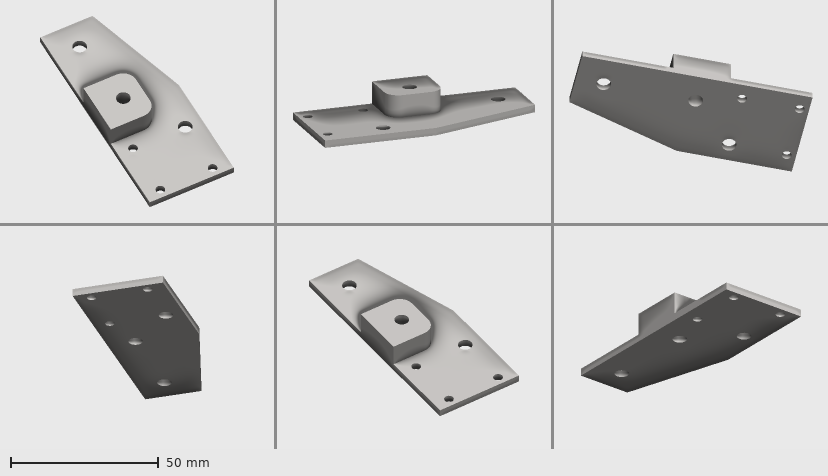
import cadquery as cq

length = 80.0
width = 32.2
plate_thickness = 2.6
left_edge_width = 20.0
taper_length = 40.0

total_height = 10.6
boss_left = 31.6
boss_width = 20.0
boss_depth = 17.5
boss_corner_radius = 5.0

large_diameter = 5.0
small_diameter = 3.3
boss_hole_x = boss_left + boss_width / 2
boss_hole_y = 10.0
left_hole_x = 9.7
hole_spacing = 20.0
right_column_x = length - 3.2
left_column_x = right_column_x - hole_spacing
lower_row_y = 5.8
upper_row_y = lower_row_y + hole_spacing

large_holes = [
    (left_hole_x, boss_hole_y),
    (boss_hole_x, boss_hole_y),
    (left_column_x, upper_row_y),
]
small_holes = [
    (left_column_x, lower_row_y),
    (right_column_x, lower_row_y),
    (right_column_x, upper_row_y),
]


def make_plate():
    """Flat plate whose back edge tapers towards the left end."""
    outline = [
        (0, 0),
        (length, 0),
        (length, width),
        (taper_length, width),
        (0, left_edge_width),
    ]
    return cq.Workplane("XY").polyline(outline).close().extrude(plate_thickness)


def make_boss():
    """Block flush with the front edge, with its two back corners rounded."""
    block = cq.Workplane("XY").box(boss_width, boss_depth, total_height, centered=False)
    return block.edges("|Z and >Y").fillet(boss_corner_radius).translate((boss_left, 0, 0))


def make_hole_cutters(centers, diameter):
    """Cylinders through the full height at the given centers."""
    return cq.Workplane("XY").pushPoints(centers).circle(diameter / 2).extrude(total_height)


result = make_plate().union(make_boss())
for centers, diameter in ((large_holes, large_diameter), (small_holes, small_diameter)):
    result = result.cut(make_hole_cutters(centers, diameter))